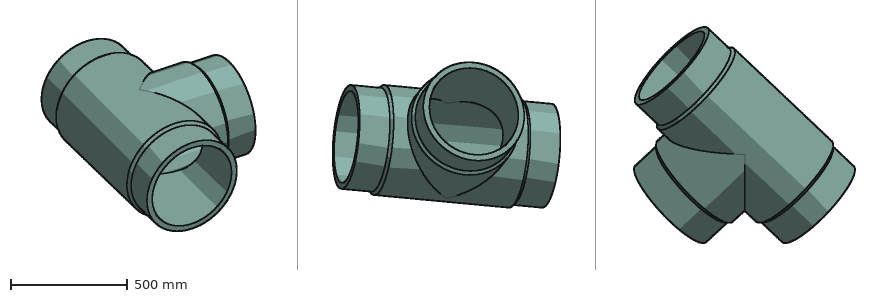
import cadquery as cq

run_length = 895.0
branch_length = 450.0
pipe_diameter = 450.0
wall = 26.7
spigot_length = 134.0

pipe_radius = pipe_diameter / 2
bore_radius = pipe_radius - wall
body_step = wall / 2
body_radius = pipe_radius + body_step
taper_length = body_step


def half_outline(end):
    """Outer (distance along axis, radius) points of one leg, from body edge to end face."""
    cone_small_end = end - spigot_length
    cone_large_end = cone_small_end - taper_length
    return [
        (cone_large_end, body_radius),
        (cone_small_end, pipe_radius),
        (end, pipe_radius),
        (end, 0),
    ]


def run_outer():
    """Solid outer shape of the run, revolved about X from a profile on its -Y side."""
    right_half = [(along, -radius) for along, radius in half_outline(run_length / 2)]
    left_half = [(-x, y) for x, y in reversed(right_half)]
    profile = cq.Workplane("XY").polyline(left_half + right_half).close()
    return profile.revolve(360, (0, 0), (1, 0))


def branch_outer():
    """Solid outer shape of the branch, revolved about Y from a profile on its -X side."""
    leg = [(-radius, along) for along, radius in half_outline(branch_length)]
    profile = cq.Workplane("XY").polyline([(0, 0), (-body_radius, 0)] + leg).close()
    return profile.revolve(360, (0, 0), (0, 1))


def run_bore():
    """Through bore along the whole run."""
    return cq.Workplane("YZ").circle(bore_radius).extrude(run_length / 2, both=True)


def branch_bore():
    """Bore from the run axis out through the branch end face."""
    return cq.Workplane("XZ").circle(bore_radius).extrude(-branch_length)


outer = run_outer().union(branch_outer())
result = outer.cut(run_bore()).cut(branch_bore())